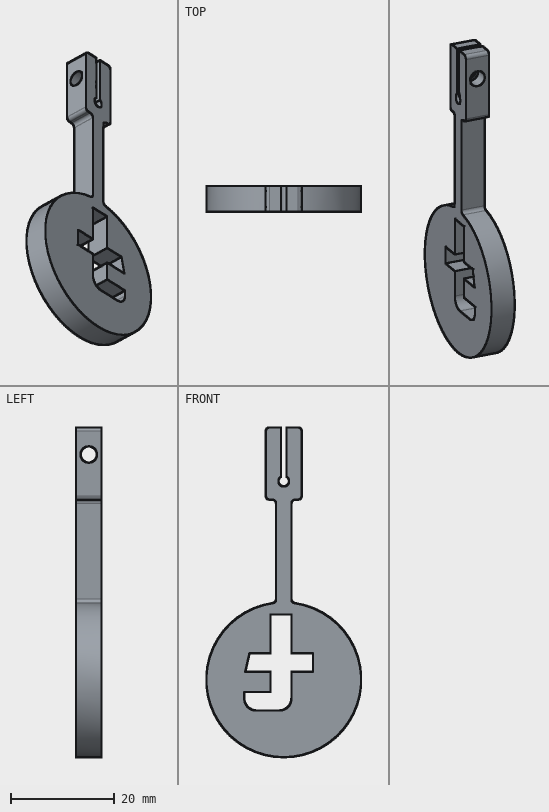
import cadquery as cq
import math

thickness = 5.0
disc_radius = 15.0
top_z = 48.8

head_width = 7.0
head_height = 14.0
head_bottom_z = top_z - head_height
corner_radius = 0.75

stem_width = 3.0
stem_base_z = math.sqrt(disc_radius**2 - (stem_width / 2) ** 2)

slot_width = 1.0
relief_diameter = 2.0
relief_depth = 10.4
relief_center_z = top_z - relief_depth

screw_hole_diameter = 3.1
screw_hole_depth = 5.25
screw_hole_z = top_z - screw_hole_depth

letter_left_x = -2.55
letter_stroke = 4.0
letter_right_x = letter_left_x + letter_stroke
letter_top_z = 12.6
letter_bottom_z = -5.9
letter_corner_radius = 2.25
bar_top_z = 5.1
bar_bottom_z = 1.6
bar_right_x = 5.65
bar_left_top_x = -6.6
bar_left_bottom_x = -7.4
foot_left_x = -7.6
foot_top_z = -2.4


def block(x_min, x_max, z_min, z_max):
    """Full-thickness rectangular block between the given X and Z limits."""
    return (
        cq.Workplane("XY")
        .box(x_max - x_min, thickness, z_max - z_min)
        .translate(((x_min + x_max) / 2, 0, (z_min + z_max) / 2))
    )


def cylinder_along_y(radius, center_z):
    """Full-thickness cylinder along Y, its seam turned up to +Z where a later feature absorbs it."""
    cylinder = cq.Workplane("XZ").circle(radius).extrude(thickness / 2, both=True)
    return cylinder.rotate((0, 0, 0), (0, 1, 0), -90).translate((0, 0, center_z))


def edges_at(body, half_width, z):
    """Pair of thickness-direction edges at X = +/-half_width and height z."""
    margin = 0.01
    selection_box = cq.selectors.BoxSelector(
        (-half_width - margin, -thickness, z - margin),
        (half_width + margin, thickness, z + margin),
    )
    return body.edges("|Y").edges(selection_box)


def make_body():
    """Disc, stem and head joined, with rounded corners and stem roots."""
    disc = cylinder_along_y(disc_radius, 0)
    stem = block(-stem_width / 2, stem_width / 2, 0, head_bottom_z)
    head = block(-head_width / 2, head_width / 2, head_bottom_z, top_z)
    body = disc.union(stem).union(head)
    for z in (stem_base_z, head_bottom_z, top_z):
        body = edges_at(body, head_width / 2, z).fillet(corner_radius)
    return body


def make_head_slot():
    """Open slot from the head's top down to the relief hole."""
    slot = block(-slot_width / 2, slot_width / 2, relief_center_z, top_z)
    return slot.union(cylinder_along_y(relief_diameter / 2, relief_center_z))


def make_screw_hole():
    """Round hole across the whole head width."""
    return (
        cq.Workplane("YZ")
        .center(0, screw_hole_z)
        .circle(screw_hole_diameter / 2)
        .extrude(head_width / 2, both=True)
    )


def make_letter_window():
    """Upright, slanted-end crossbar and rounded foot of the letter window."""
    upright = block(letter_left_x, letter_right_x, foot_top_z, letter_top_z)
    crossbar = (
        cq.Workplane("XZ")
        .moveTo(bar_left_top_x, bar_top_z)
        .lineTo(bar_right_x, bar_top_z)
        .lineTo(bar_right_x, bar_bottom_z)
        .lineTo(bar_left_bottom_x, bar_bottom_z)
        .close()
        .extrude(thickness / 2, both=True)
    )
    foot = block(foot_left_x, letter_right_x, letter_bottom_z, foot_top_z)
    foot = foot.edges("|Y and <Z").fillet(letter_corner_radius)
    return upright.union(crossbar).union(foot)


pendulum = make_body().cut(make_head_slot()).cut(make_screw_hole()).cut(make_letter_window())
result = cq.Workplane(pendulum.solids().val())